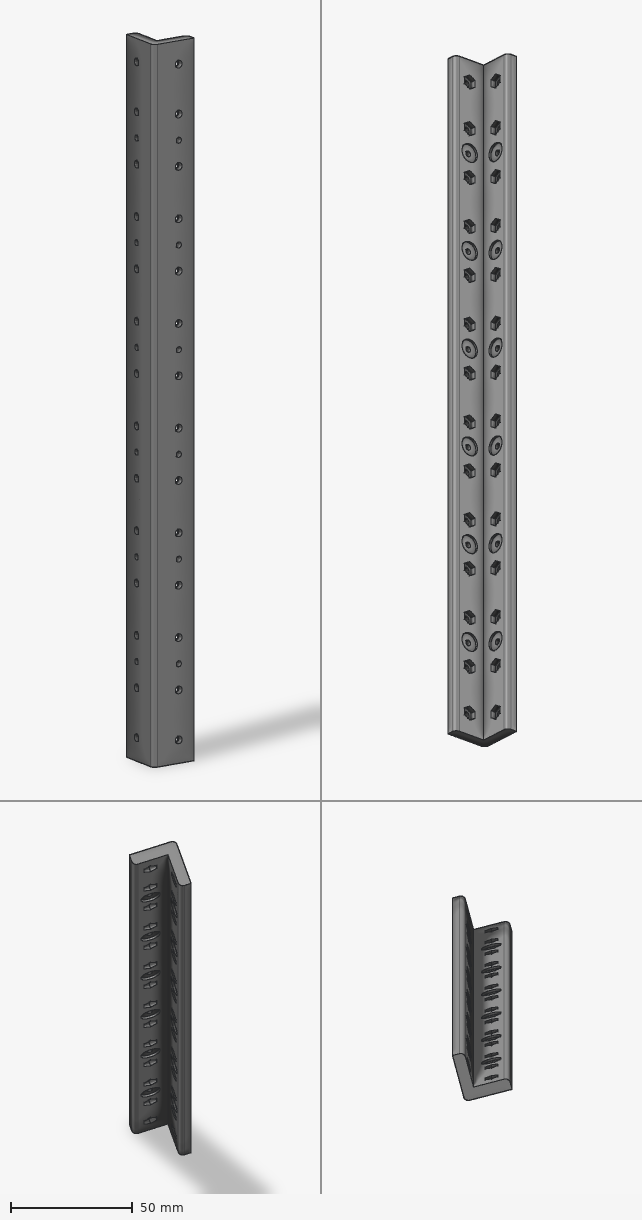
import cadquery as cq
import math

length = 307.2
leg_width = 20.0
thickness = 5.0
edge_radius = 2.0

hole_from_tip = 7.5
end_hole_inset = 10.0
unit_pitch = 44.5
unit_count = 6
screw_offset = unit_pitch / 4
screw_diameter = 3.2
nut_across_flats = 5.5
nut_sides = 6
nut_depth = 2.4
pilot_diameter = 2.5
recess_diameter = 8.25
recess_depth = 1.0

half_leg = leg_width / 2
half_length = length / 2
inner = half_leg - thickness
hole_position = half_leg - hole_from_tip
nut_across_corners = nut_across_flats / math.cos(math.pi / nut_sides)

unit_centres = [(i - (unit_count - 1) / 2) * unit_pitch for i in range(unit_count)]
end_hole = half_length - end_hole_inset
screw_heights = [-end_hole, end_hole]
for centre in unit_centres:
    screw_heights += [centre - screw_offset, centre + screw_offset]


def angle_body():
    """Extruded angle with the outer corner and inner tip edges rounded."""
    outline = [
        (-half_leg, -half_leg),
        (half_leg, -half_leg),
        (half_leg, half_leg),
        (inner, half_leg),
        (inner, -inner),
        (-half_leg, -inner),
    ]
    rounded_corners = [(half_leg, -half_leg), (inner, half_leg), (-half_leg, -inner)]
    body = cq.Workplane("XY").workplane(offset=-half_length).polyline(outline).close().extrude(length)
    for x, y in rounded_corners:
        body = body.edges(cq.selectors.NearestToPointSelector((x, y, 0))).fillet(edge_radius)
    return body


def row(inner_face, heights):
    """Workplane on an inner face with one point per height; local X runs along the part."""
    return cq.Workplane(inner_face).pushPoints([(height, 0) for height in heights])


def drill_leg(body, inner_face):
    """Cut nut-pocketed screw holes and recessed pilot holes from an inner face."""
    screws = row(inner_face, screw_heights).circle(screw_diameter / 2).extrude(-thickness)
    nuts = row(inner_face, screw_heights).polygon(nut_sides, nut_across_corners).extrude(-nut_depth)
    pilots = row(inner_face, unit_centres).circle(pilot_diameter / 2).extrude(-thickness)
    recesses = row(inner_face, unit_centres).circle(recess_diameter / 2).extrude(-recess_depth)
    return body.cut(screws).cut(nuts).cut(pilots).cut(recesses)


front_face = cq.Plane(origin=(-hole_position, -inner, 0), xDir=(0, 0, 1), normal=(0, 1, 0))
side_face = cq.Plane(origin=(inner, hole_position, 0), xDir=(0, 0, 1), normal=(-1, 0, 0))

result = angle_body()
result = drill_leg(result, front_face)
result = drill_leg(result, side_face)